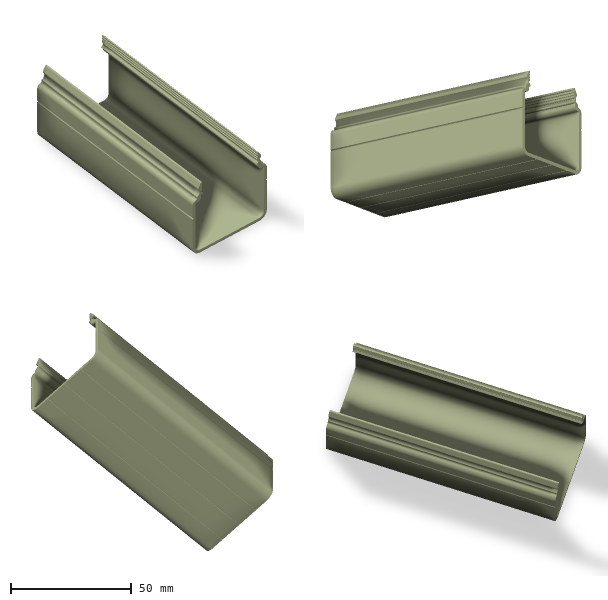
import cadquery as cq
import math

LENGTH = 100.0
WIDTH = 40.0
HEIGHT = 37.0
WALL = 1.5

BOTTOM_RADIUS = 4.0
SHOULDER_RADIUS = 2.2
SHOULDER_START = 27.0
SHOULDER_TOP = 29.1
SHELF_UNDERSIDE = 27.6
SHELF_CORNER_RADIUS = 0.6

NECK_OUTER = 17.6
NECK_INNER = 15.5
NECK_TOP = 30.4
NECK_FOOT_RADIUS = 0.6
NECK_BEND_RADIUS = 1.8

BARB_TIP = 14.5
BARB_UNDERSIDE = 30.4
BARB_CHAMFER = 0.3
BARB_NOSE = 0.2
BARB_TOP = 31.8

HEAD_INNER = 14.9
HEAD_BOTTOM = 32.5
HEAD_CHAMFER = 0.4
HEAD_TOP_WIDTH = 0.6
HEAD_TIP_CHAMFER = 0.2
NOSE_OUTER = 17.0
NOSE_HIGH = 34.5
NOSE_LOW = 33.9
RECESS_BOTTOM = 30.7
RECESS_BOTTOM_OUTER = 17.2
RECESS_FLOOR = 16.2
RECESS_MIDDLE = 32.3

NOTCH_COUNT = 3
NOTCH_PITCH = 1.2
NOTCH_TOP = 36.0
NOTCH_DEPTH = 0.3
NOTCH_HALF_WIDTH = 0.3
NOTCH_FLOOR_HALF_WIDTH = 0.1

GROOVE_FLOOR_HALF_WIDTH = 0.1
FLOOR_GROOVE_DEPTH = 0.3
FLOOR_GROOVE_HALF_WIDTH = 0.2
FLOOR_GROOVE_SPACING = 10.0
SIDE_GROOVE_DEPTH = 0.4
SIDE_GROOVE_HALF_WIDTH = 0.4
SIDE_GROOVE_HEIGHT = 20.0

HALF_WIDTH = WIDTH / 2
INNER_WALL = HALF_WIDTH - WALL
DIAGONAL = math.sqrt(0.5)


def half_section():
    """Section on the +Y side, from the mid plane around to the mid plane again."""
    inner_radius = BOTTOM_RADIUS - WALL
    bottom_center = HALF_WIDTH - BOTTOM_RADIUS
    outer_reach = BOTTOM_RADIUS * DIAGONAL
    head_top_outer = HEAD_INNER + HEAD_TOP_WIDTH
    nose_top = BARB_UNDERSIDE + BARB_CHAMFER + BARB_NOSE
    inner_reach = inner_radius * DIAGONAL

    return (
        cq.Workplane("YZ")
        .moveTo(0, 0)
        .lineTo(bottom_center, 0)
        .threePointArc(
            (bottom_center + outer_reach, BOTTOM_RADIUS - outer_reach),
            (HALF_WIDTH, BOTTOM_RADIUS),
        )
        .lineTo(HALF_WIDTH, SHOULDER_START)
        .radiusArc((NECK_OUTER + NECK_FOOT_RADIUS, SHOULDER_TOP), -SHOULDER_RADIUS)
        .radiusArc((NECK_OUTER, SHOULDER_TOP + NECK_FOOT_RADIUS), NECK_FOOT_RADIUS)
        .lineTo(NECK_OUTER, NECK_TOP)
        .lineTo(RECESS_BOTTOM_OUTER, RECESS_BOTTOM)
        .threePointArc((RECESS_FLOOR, RECESS_MIDDLE), (NOSE_OUTER, NOSE_LOW))
        .lineTo(NOSE_OUTER, NOSE_HIGH)
        .lineTo(head_top_outer + HEAD_TIP_CHAMFER, HEIGHT - HEAD_TIP_CHAMFER)
        .lineTo(head_top_outer, HEIGHT)
        .lineTo(HEAD_INNER, HEIGHT)
        .lineTo(HEAD_INNER, HEAD_BOTTOM + HEAD_CHAMFER)
        .lineTo(HEAD_INNER + HEAD_CHAMFER, HEAD_BOTTOM)
        .lineTo(NECK_INNER, HEAD_BOTTOM)
        .lineTo(NECK_INNER, BARB_TOP)
        .lineTo(BARB_TIP + BARB_CHAMFER, nose_top + BARB_CHAMFER)
        .lineTo(BARB_TIP, nose_top)
        .lineTo(BARB_TIP, BARB_UNDERSIDE + BARB_CHAMFER)
        .lineTo(BARB_TIP + BARB_CHAMFER, BARB_UNDERSIDE)
        .lineTo(NECK_INNER, BARB_UNDERSIDE)
        .lineTo(NECK_INNER, SHELF_UNDERSIDE + NECK_BEND_RADIUS)
        .radiusArc((NECK_INNER + NECK_BEND_RADIUS, SHELF_UNDERSIDE), -NECK_BEND_RADIUS)
        .lineTo(INNER_WALL - SHELF_CORNER_RADIUS, SHELF_UNDERSIDE)
        .radiusArc((INNER_WALL, SHELF_UNDERSIDE - SHELF_CORNER_RADIUS), SHELF_CORNER_RADIUS)
        .lineTo(INNER_WALL, BOTTOM_RADIUS)
        .threePointArc(
            (bottom_center + inner_reach, BOTTOM_RADIUS - inner_reach),
            (bottom_center, WALL),
        )
        .lineTo(0, WALL)
        .close()
    )


def groove(y, z, into_y, into_z, half_width, depth, floor_half_width):
    """Tapered groove along X at (y, z), cutting along the unit direction (into_y, into_z)."""
    floor_y = y + into_y * depth
    floor_z = z + into_z * depth
    corners = [
        (y - into_z * half_width, z + into_y * half_width),
        (floor_y - into_z * floor_half_width, floor_z + into_y * floor_half_width),
        (floor_y + into_z * floor_half_width, floor_z - into_y * floor_half_width),
        (y + into_z * half_width, z - into_y * half_width),
    ]
    return cq.Workplane("YZ").polyline(corners).close().extrude(LENGTH)


half = half_section().extrude(LENGTH)

for index in range(NOTCH_COUNT):
    height = NOTCH_TOP - index * NOTCH_PITCH
    notch = groove(HEAD_INNER, height, 1, 0, NOTCH_HALF_WIDTH, NOTCH_DEPTH, NOTCH_FLOOR_HALF_WIDTH)
    half = half.cut(notch)

side_groove = groove(
    HALF_WIDTH,
    SIDE_GROOVE_HEIGHT,
    -1,
    0,
    SIDE_GROOVE_HALF_WIDTH,
    SIDE_GROOVE_DEPTH,
    GROOVE_FLOOR_HALF_WIDTH,
)
half = half.cut(side_groove)

channel = half.union(half.mirror("XZ"))

for position in (-FLOOR_GROOVE_SPACING, 0, FLOOR_GROOVE_SPACING):
    floor_groove = groove(
        position,
        0,
        0,
        1,
        FLOOR_GROOVE_HALF_WIDTH,
        FLOOR_GROOVE_DEPTH,
        GROOVE_FLOOR_HALF_WIDTH,
    )
    channel = channel.cut(floor_groove)

result = channel.translate((-LENGTH / 2, 0, 0))